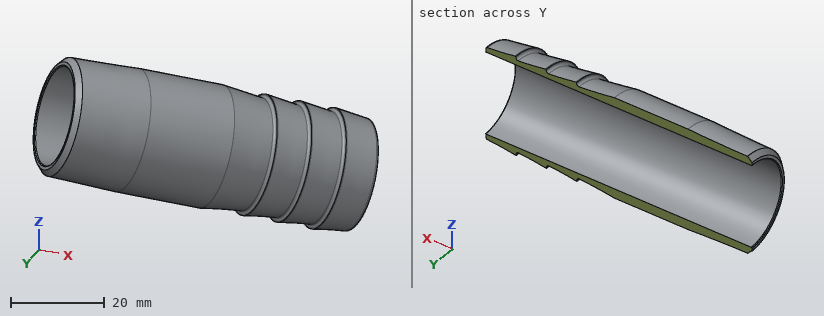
import cadquery as cq
import math

length = 70.0
body_radius = 26.9 / 2
bore_radius = 21.7 / 2
bore_chamfer = 0.2

taper_end = 16.8
pipe_chamfer = 1.2
pipe_taper = 1 / 32
pipe_radius = body_radius - (taper_end - pipe_chamfer) * pipe_taper

body_end = 36.1
barb_count = 3
barb_pitch = 8.0
barb_radius = 13.2
barb_land = 0.2
root_radius = 12.3
root_fillet = 0.6
end_fillet = 0.55
first_barb = length - barb_count * barb_pitch


def add_barb_face(profile, barb_start):
    """Sweep a concave quarter arc up to a barb face, then rise to its crest and follow its short land."""
    bend = root_fillet * math.sqrt(0.5)
    center_x = barb_start - root_fillet
    center_r = root_radius + root_fillet
    middle = (center_x + bend, center_r - bend)
    return (
        profile.threePointArc(middle, (barb_start, center_r))
        .lineTo(barb_start, barb_radius)
        .lineTo(barb_start + barb_land, barb_radius)
    )


def outer_solid():
    """Revolve the complete outer outline into a solid bar."""
    profile = (
        cq.Workplane("XY")
        .moveTo(0, 0)
        .lineTo(0, pipe_radius - pipe_chamfer)
        .lineTo(pipe_chamfer, pipe_radius)
        .lineTo(taper_end, body_radius)
        .lineTo(body_end, body_radius)
    )
    for index in range(barb_count):
        barb_start = first_barb + index * barb_pitch
        profile = profile.lineTo(barb_start - root_fillet, root_radius)
        profile = add_barb_face(profile, barb_start)

    bend = end_fillet * math.sqrt(0.5)
    center_x = length - end_fillet
    center_r = root_radius - end_fillet
    profile = (
        profile.lineTo(center_x, root_radius)
        .threePointArc((center_x + bend, center_r + bend), (length, center_r))
        .lineTo(length, 0)
        .close()
    )
    return profile.revolve(360, (0, 0, 0), (1, 0, 0))


def bore():
    """Through bore, flared by a small chamfer at the pipe end."""
    mouth_radius = bore_radius + bore_chamfer
    return (
        cq.Workplane("XY")
        .moveTo(0, 0)
        .lineTo(0, mouth_radius)
        .lineTo(bore_chamfer, bore_radius)
        .lineTo(length, bore_radius)
        .lineTo(length, 0)
        .close()
        .revolve(360, (0, 0, 0), (1, 0, 0))
    )


result = outer_solid().cut(bore())